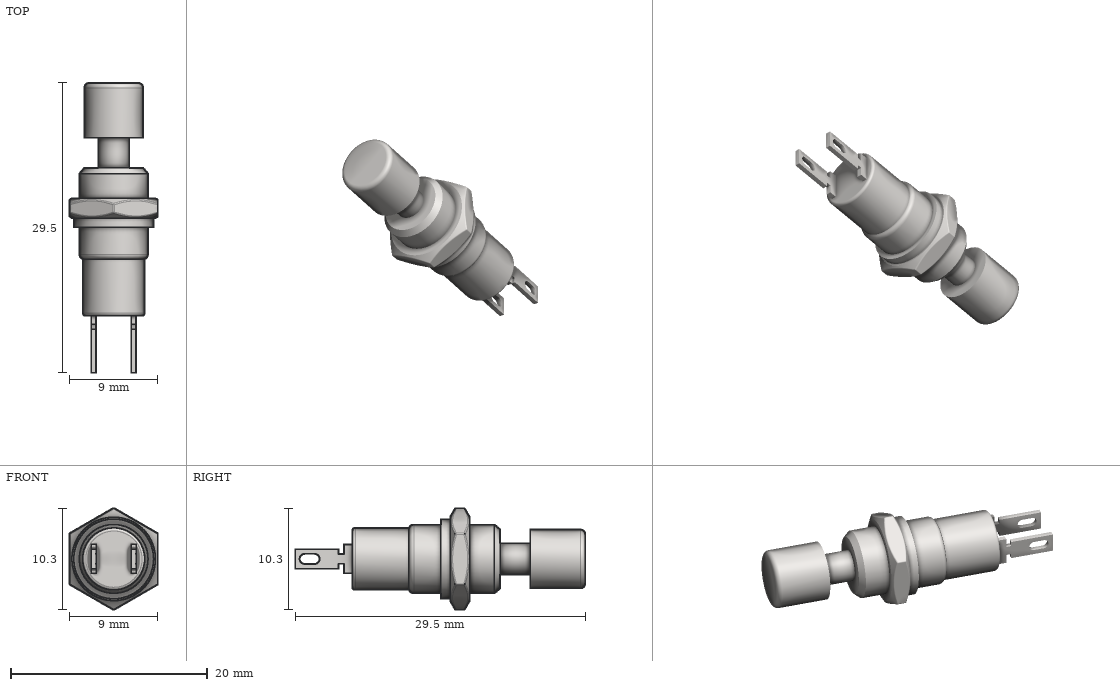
import cadquery as cq
import math


NUT_ACROSS_FLATS = 9.0
NUT_THICKNESS = 2.0
NUT_FACE_DIAMETER = 8.5
NUT_CHAMFER_ANGLE = 30
NUT_EDGE_FILLET = 0.15

BARREL_DIAMETER = 7.0
FRONT_BARREL_LENGTH = 5.1
FRONT_CHAMFER_LENGTH = 0.6
FRONT_CHAMFER_DEPTH = 0.5
FLANGE_DIAMETER = 8.1
FLANGE_THICKNESS = 0.95
REAR_BARREL_LENGTH = 3.25
REAR_BARREL_FILLET = 0.5
TAIL_DIAMETER = 6.3
TAIL_LENGTH = 5.75
TAIL_FILLET = 0.3

STEM_DIAMETER = 3.2
STEM_LENGTH = 3.05
CAP_DIAMETER = 6.0
CAP_LENGTH = 5.6
CAP_FILLET = 0.5

TERMINAL_SPACING = 4.07
TERMINAL_THICKNESS = 0.5
SHOULDER_WIDTH = 2.95
SHOULDER_LENGTH = 0.85
NECK_WIDTH = 1.0
NECK_LENGTH = 0.53
BLADE_WIDTH = 2.0
BLADE_LENGTH = 4.42
EYE_LENGTH = 2.0
EYE_WIDTH = 1.0
EYE_CENTER_TO_TIP = 1.48

REAR_BARREL_FRONT = -FLANGE_THICKNESS
TAIL_FRONT = REAR_BARREL_FRONT - REAR_BARREL_LENGTH
TAIL_END = TAIL_FRONT - TAIL_LENGTH
NECK_FRONT = TAIL_END - SHOULDER_LENGTH
BLADE_FRONT = NECK_FRONT - NECK_LENGTH
TERMINAL_TIP = BLADE_FRONT - BLADE_LENGTH


def cylinder(diameter, y_start, length):
    """Solid cylinder on the switch axis, from y_start toward +Y."""
    base = cq.Plane(origin=(0, y_start, 0), xDir=(1, 0, 0), normal=(0, 1, 0))
    return cq.Workplane(base).circle(diameter / 2).extrude(length)


def make_nut():
    """Hexagon nut with corners at +-Z, both faces chamfered by a cone, all flats softly rounded."""
    corner_radius = NUT_ACROSS_FLATS / math.sqrt(3)
    face_radius = NUT_FACE_DIAMETER / 2
    drop = (corner_radius - face_radius) * math.tan(math.radians(NUT_CHAMFER_ANGLE))

    face = cq.Plane(origin=(0, 0, 0), xDir=(0, 0, 1), normal=(0, 1, 0))
    hexagon = cq.Workplane(face).polygon(6, 2 * corner_radius).extrude(NUT_THICKNESS)
    chamfer_envelope = (
        cq.Workplane("XY")
        .polyline([
            (0, 0),
            (face_radius, 0),
            (corner_radius, drop),
            (corner_radius, NUT_THICKNESS - drop),
            (face_radius, NUT_THICKNESS),
            (0, NUT_THICKNESS),
        ])
        .close()
        .revolve(360, (0, 0, 0), (0, 1, 0))
    )
    nut = hexagon.intersect(chamfer_envelope)
    nut = nut.faces("#Y").faces("%PLANE").edges().fillet(NUT_EDGE_FILLET)
    return nut.cut(cylinder(BARREL_DIAMETER, 0, NUT_THICKNESS))


def make_terminal(x_center):
    """Flat terminal: wide shoulder at the housing, narrow neck, then a blade with a wire eye."""
    def strip(width, y_front, length):
        y_center = y_front - length / 2
        return cq.Workplane("XY", origin=(x_center, y_center, 0)).box(TERMINAL_THICKNESS, length, width)

    terminal = strip(SHOULDER_WIDTH, TAIL_END, SHOULDER_LENGTH)
    terminal = terminal.union(strip(NECK_WIDTH, NECK_FRONT, NECK_LENGTH))
    terminal = terminal.union(strip(BLADE_WIDTH, BLADE_FRONT, BLADE_LENGTH))
    eye = (
        cq.Workplane("YZ", origin=(x_center, TERMINAL_TIP + EYE_CENTER_TO_TIP, 0))
        .slot2D(EYE_LENGTH, EYE_WIDTH)
        .extrude(TERMINAL_THICKNESS, both=True)
    )
    return terminal.cut(eye)


def make_housing():
    """Barrel, flange and tail in one piece with the two terminals moulded into the tail."""
    front = cylinder(BARREL_DIAMETER, 0, FRONT_BARREL_LENGTH)
    front = front.faces(">Y").edges().chamfer(FRONT_CHAMFER_LENGTH, FRONT_CHAMFER_DEPTH)
    flange = cylinder(FLANGE_DIAMETER, REAR_BARREL_FRONT, FLANGE_THICKNESS)
    rear = cylinder(BARREL_DIAMETER, TAIL_FRONT, REAR_BARREL_LENGTH)
    rear = rear.faces("<Y").edges().fillet(REAR_BARREL_FILLET)
    tail = cylinder(TAIL_DIAMETER, TAIL_END, TAIL_LENGTH)
    tail = tail.faces("<Y").edges().fillet(TAIL_FILLET)
    housing = front.union(flange).union(rear).union(tail)
    for side in (-1, 1):
        housing = housing.union(make_terminal(side * TERMINAL_SPACING / 2))
    return housing


def make_plunger():
    """Stem standing on the housing front face and carrying the round button cap."""
    stem = cylinder(STEM_DIAMETER, FRONT_BARREL_LENGTH, STEM_LENGTH)
    cap = cylinder(CAP_DIAMETER, FRONT_BARREL_LENGTH + STEM_LENGTH, CAP_LENGTH)
    return stem.union(cap.faces(">Y").edges().fillet(CAP_FILLET))


housing = make_housing()
nut = make_nut()
plunger = make_plunger()

result = cq.Compound.makeCompound([housing.val(), nut.val(), plunger.val()])